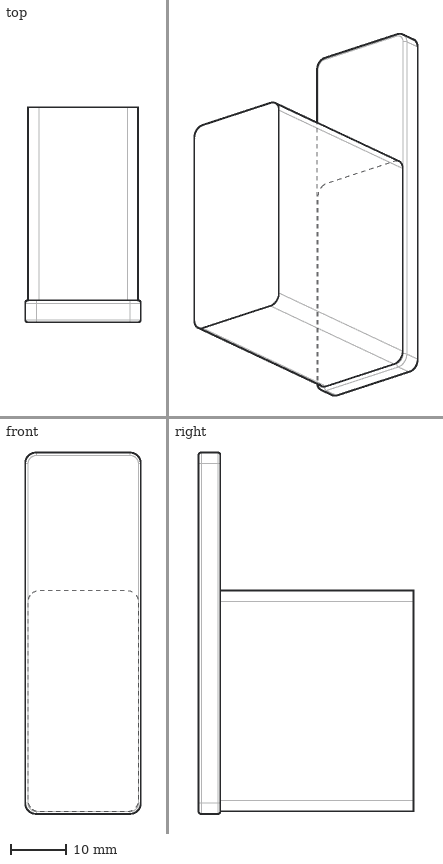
import cadquery as cq

plate_width = 21.0
plate_thickness = 4.0
plate_height = 65.5
plate_edge_fillet = 0.5

block_width = 20.0
block_height = 40.0
total_depth = 39.0
block_length = total_depth - plate_thickness
block_inset = (plate_width - block_width) / 2

corner_radius = 2.0


def rounded_bar(width, length, height):
    """Box centred in X, starting at Y = 0 and Z = 0, with its edges along Y rounded."""
    bar = cq.Workplane("XY").box(width, length, height, centered=(True, False, False))
    return bar.edges("|Y").fillet(corner_radius)


def make_plate():
    """Plate with the rims of its front and back faces softened."""
    plate = rounded_bar(plate_width, plate_thickness, plate_height)
    return plate.faces("<Y or >Y").edges().fillet(plate_edge_fillet)


def make_block():
    """Plain block, reaching into the plate so that the joint is solid."""
    overlap = plate_thickness / 2
    block = rounded_bar(block_width, block_length + overlap, block_height)
    return block.translate((0, plate_thickness - overlap, block_inset))


result = make_plate().union(make_block())